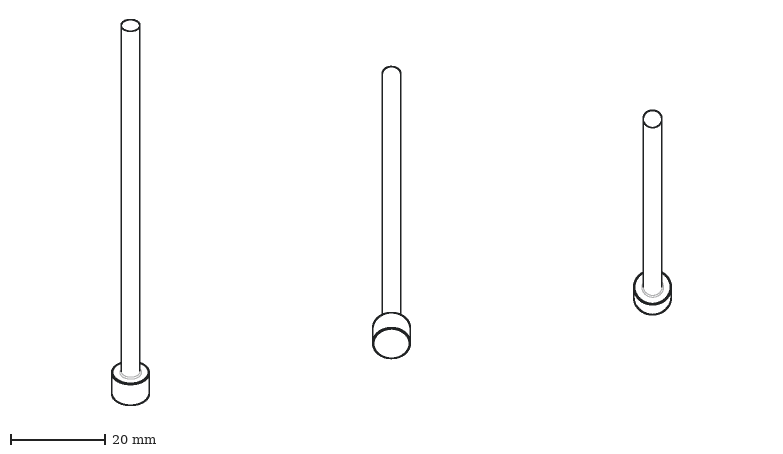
import cadquery as cq

total_length = 100.0
head_diameter = 8.0
head_height = 6.0
shank_diameter = 4.0
head_edge_chamfer = 0.2
neck_fillet = 0.3

head_radius = head_diameter / 2
shank_radius = shank_diameter / 2


def make_pin():
    """Headed pin standing on its head, revolved about Z from a half section on the -X side."""
    half_section = (
        cq.Workplane("XZ")
        .moveTo(0, 0)
        .lineTo(-head_radius + head_edge_chamfer, 0)
        .lineTo(-head_radius, head_edge_chamfer)
        .lineTo(-head_radius, head_height - head_edge_chamfer)
        .lineTo(-head_radius + head_edge_chamfer, head_height)
        .lineTo(-shank_radius - neck_fillet, head_height)
        .radiusArc((-shank_radius, head_height + neck_fillet), -neck_fillet)
        .lineTo(-shank_radius, total_length)
        .lineTo(0, total_length)
        .close()
    )
    return half_section.revolve(360, (0, 0, 0), (0, 1, 0))


result = make_pin()